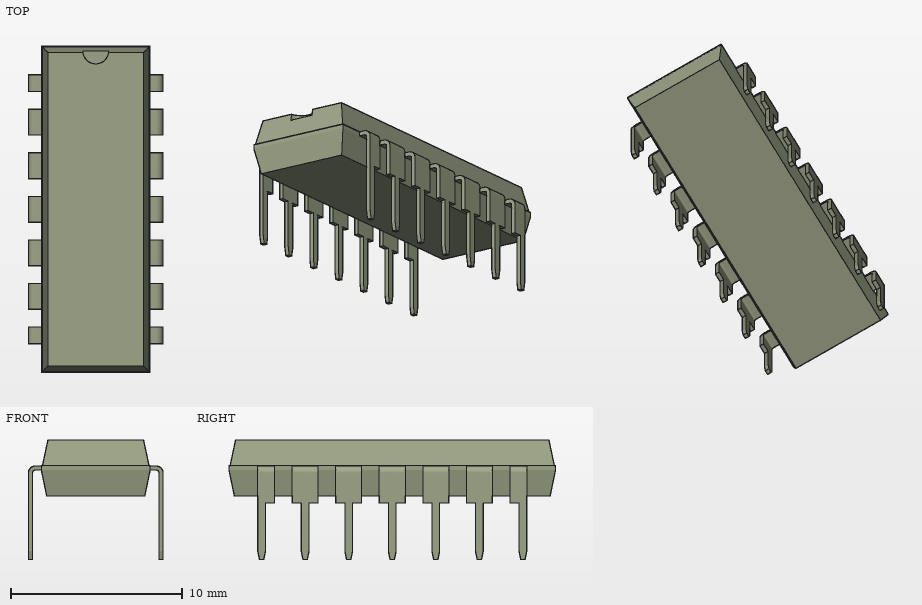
import cadquery as cq

body_length = 19.05
body_width = 6.35
lead_span = 7.87
body_height = 3.28
overall_height = 6.98

upper_height = 1.5
band_height = 0.28
upper_ledge = 0.06
upper_draft = 0.32
lower_draft = 0.31

notch_radius = 0.75
notch_depth = 0.40

leads_per_side = 7
lead_thickness = 0.25
lead_pitch = 2.54
shoulder_width = 1.52
pin_width = 0.46
tip_width = 0.26
tip_length = 0.48
shoulder_height = 3.30
bend_radius = 0.41
lead_embed = 0.5

body_top = overall_height
body_bottom = body_top - body_height
band_top = body_top - upper_height
band_bottom = band_top - band_height
lead_top = band_top - (band_height - lead_thickness) / 2

upper_foot_width = body_width - 2 * upper_ledge
upper_foot_length = body_length - 2 * upper_ledge
top_length = upper_foot_length - 2 * upper_draft


def tapered_block(z_start, width, length, z_end, draft):
    """Block from z_start to z_end whose four sides lean inwards by draft."""
    return (
        cq.Workplane("XY")
        .workplane(offset=z_start)
        .rect(width, length)
        .workplane(offset=z_end - z_start)
        .rect(width - 2 * draft, length - 2 * draft)
        .loft(ruled=True)
    )


def make_body():
    """Drafted body with a straight parting band around its middle."""
    lower = tapered_block(band_bottom, body_width, body_length, body_bottom, lower_draft)
    band = (
        cq.Workplane("XY")
        .workplane(offset=band_bottom)
        .rect(body_width, body_length)
        .extrude(band_height)
    )
    upper = tapered_block(band_top, upper_foot_width, upper_foot_length, body_top, upper_draft)
    return lower.union(band).union(upper)


def make_notch():
    """Cylinder that leaves a round notch in the end of the top face."""
    notch_floor_edge = top_length / 2 + upper_draft * notch_depth / upper_height
    return (
        cq.Workplane("XY")
        .workplane(offset=body_top - notch_depth)
        .center(0, notch_floor_edge)
        .circle(notch_radius)
        .extrude(notch_depth)
    )


def lead_strip():
    """Bent strip of the +X side, extruded over the whole body length."""
    outer_x = lead_span / 2
    inner_x = outer_x - lead_thickness
    root_x = body_width / 2 - lead_embed
    bend_x = outer_x - bend_radius
    bend_z = lead_top - bend_radius
    inner_radius = bend_radius - lead_thickness
    return (
        cq.Workplane("XZ")
        .moveTo(root_x, lead_top)
        .lineTo(bend_x, lead_top)
        .radiusArc((outer_x, bend_z), bend_radius)
        .lineTo(outer_x, 0)
        .lineTo(inner_x, 0)
        .lineTo(inner_x, bend_z)
        .radiusArc((bend_x, lead_top - lead_thickness), -inner_radius)
        .lineTo(root_x, lead_top - lead_thickness)
        .close()
        .extrude(body_length / 2, both=True)
    )


def lead_outline(y_center, reach_minus, reach_plus):
    """Side outline of a lead: shoulder reaching each way from the pin, and a tapered tip."""
    half_pin = pin_width / 2
    half_tip = tip_width / 2
    shoulder = (
        cq.Workplane("YZ")
        .moveTo(y_center - reach_minus, shoulder_height)
        .lineTo(y_center + reach_plus, shoulder_height)
        .lineTo(y_center + reach_plus, lead_top)
        .lineTo(y_center - reach_minus, lead_top)
        .close()
        .extrude(lead_span)
    )
    pin = (
        cq.Workplane("YZ")
        .moveTo(y_center - half_tip, 0)
        .lineTo(y_center + half_tip, 0)
        .lineTo(y_center + half_pin, tip_length)
        .lineTo(y_center + half_pin, lead_top)
        .lineTo(y_center - half_pin, lead_top)
        .lineTo(y_center - half_pin, tip_length)
        .close()
        .extrude(lead_span)
    )
    return shoulder.union(pin)


def make_leads():
    """Row of leads on the +X side; the end leads have a shoulder on the inward side only."""
    strip = lead_strip()
    leads = cq.Workplane("XY")
    last = leads_per_side - 1
    for index in range(leads_per_side):
        y_center = (index - last / 2) * lead_pitch
        reach_minus = pin_width / 2 if index == 0 else shoulder_width / 2
        reach_plus = pin_width / 2 if index == last else shoulder_width / 2
        leads = leads.add(strip.intersect(lead_outline(y_center, reach_minus, reach_plus)))
    return leads.combine()


leads_right = make_leads()
leads_left = leads_right.mirror("YZ")
result = make_body().cut(make_notch()).union(leads_right).union(leads_left)